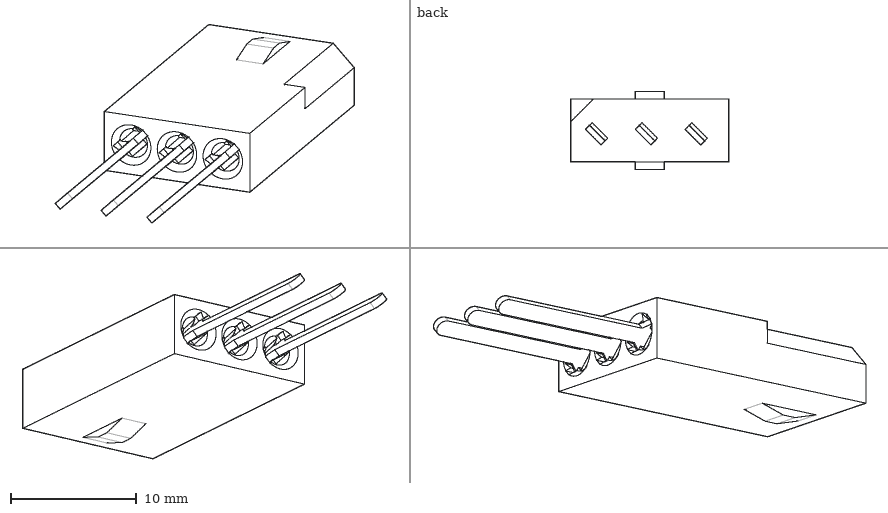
import cadquery as cq
import math

overall_length = 35.47
housing_width = 12.55
housing_length = 21.2
housing_height = 5.0

key_chamfer = 1.8
key_length = 10.0

latch_width = 2.3
latch_height = 0.6
latch_ramp = 2.13
latch_flat = 1.2
latch_back_gap = 1.0

contact_count = 3
contact_row_span = 7.9
contact_roll = 45.0
cone_front_radius = 1.7
cone_floor_radius = 1.2
cone_depth = 0.5
slot_width = 1.75
slot_height = 1.5

sheet = 0.6
tail_width = 1.4
tail_length = overall_length - housing_length
taper_lead = 0.2
web_width = 3.4
taper_angle = 40.0
channel_width = 2.7
channel_wall_top = 0.9
channel_depth = 7.1

taper_length = (web_width - tail_width) / 2 / math.tan(math.radians(taper_angle))
channel_start = taper_length - taper_lead

ramp_length = 1.05
ramp_bulge = 0.053

contact_pitch = contact_row_span / (contact_count - 1)
contact_positions = [i * contact_pitch - contact_row_span / 2 for i in range(contact_count)]


def box_between(x_range, y_range, z_range):
    """Box that spans the given (low, high) limits on each axis."""
    size = [high - low for low, high in (x_range, y_range, z_range)]
    corner = cq.Vector(x_range[0], y_range[0], z_range[0])
    return cq.Workplane(cq.Solid.makeBox(*size, pnt=corner))


def place(body, x):
    """Roll a contact or cavity about its own Y axis and move it to its position on X."""
    return body.rotate((0, 0, 0), (0, 1, 0), -contact_roll).translate((x, 0, 0))


def make_channel(y_front, y_back):
    """Channel section lying in XY, with two walls toward +Z, between two distances along Y."""
    web_half = web_width / 2
    channel = box_between((-web_half, web_half), (y_front, y_back), (-sheet / 2, sheet / 2))
    for side in (-1, 1):
        wall_x = sorted((side * channel_width / 2, side * (channel_width / 2 - sheet)))
        channel = channel.union(box_between(wall_x, (y_front, y_back), (0, channel_wall_top)))
    return channel


def make_contact():
    """Contact lying flat in XY: a round-ended tail toward -Y that flares into a channel."""
    tail_half = tail_width / 2
    web_half = web_width / 2
    tail = (
        cq.Workplane("XY", origin=(0, 0, -sheet / 2))
        .moveTo(-tail_half, -taper_lead)
        .lineTo(-tail_half, tail_half - tail_length)
        .threePointArc((0, -tail_length), (tail_half, tail_half - tail_length))
        .lineTo(tail_half, -taper_lead)
        .lineTo(web_half, channel_start)
        .lineTo(-web_half, channel_start)
        .close()
        .extrude(sheet)
    )
    return tail.union(make_channel(channel_start, channel_depth))


def make_cavity():
    """Conical mouth and a slot through the housing, with a path for the channel from the front face."""
    mouth = cq.Workplane(
        cq.Solid.makeCone(cone_front_radius, cone_floor_radius, cone_depth, dir=cq.Vector(0, 1, 0))
    )
    slot_half = slot_width / 2
    lower_slot = box_between((-slot_half, slot_half), (0, housing_length), (-slot_height / 2, 0))

    ramp_end = cone_depth + ramp_length
    ramp_middle = (cone_depth + ramp_end) / 2
    ramp_middle_z = (slot_height / 2 + sheet / 2) / 2 - ramp_bulge
    inner_width = channel_width - 2 * sheet
    upper_pocket = (
        cq.Workplane("YZ", origin=(-inner_width / 2, 0, 0))
        .moveTo(0, 0)
        .lineTo(0, slot_height / 2)
        .lineTo(cone_depth, slot_height / 2)
        .threePointArc((ramp_middle, ramp_middle_z), (ramp_end, sheet / 2))
        .lineTo(ramp_end, 0)
        .close()
        .extrude(inner_width)
    )
    channel_path = make_channel(0, channel_depth)
    return mouth.union(lower_slot).union(upper_pocket).union(channel_path)


def make_latch():
    """Bump on the top face with a trapezoid profile: two ramps and a flat crest."""
    back = housing_length - latch_back_gap
    base = housing_height / 2
    crest = base + latch_height
    return (
        cq.Workplane("YZ", origin=(-latch_width / 2, 0, 0))
        .polyline(
            [
                (back, base),
                (back - latch_ramp, crest),
                (back - latch_ramp - latch_flat, crest),
                (back - 2 * latch_ramp - latch_flat, base),
            ]
        )
        .close()
        .extrude(latch_width)
    )


def make_key_cut():
    """Triangular prism that chamfers the upper +X edge at the back of the housing."""
    right = housing_width / 2
    top = housing_height / 2
    return (
        cq.Workplane("XZ", origin=(0, housing_length, 0))
        .polyline([(right, top), (right - key_chamfer, top), (right, top - key_chamfer)])
        .close()
        .extrude(key_length)
    )


def make_housing():
    """Block with latches and keying chamfer, hollowed by the contact cavities."""
    half_width = housing_width / 2
    half_height = housing_height / 2
    housing = box_between((-half_width, half_width), (0, housing_length), (-half_height, half_height))
    latch = make_latch()
    housing = housing.union(latch).union(latch.mirror("XY"))
    housing = housing.cut(make_key_cut())
    cavity = make_cavity()
    for x in contact_positions:
        housing = housing.cut(place(cavity, x))
    return housing


flat_contact = make_contact()
contacts = [place(flat_contact, x) for x in contact_positions]
housing = make_housing()

result = cq.Compound.makeCompound([housing.val(), *[contact.val() for contact in contacts]])